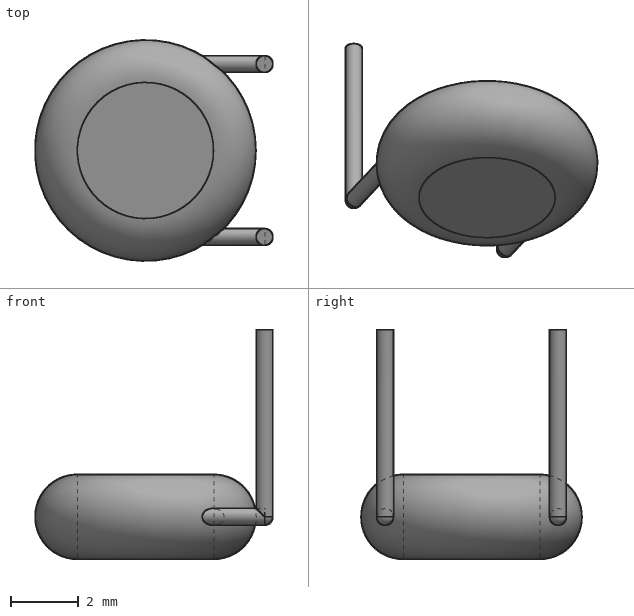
import cadquery as cq

disc_diameter = 6.5
disc_thickness = 2.5
edge_radius = disc_thickness / 2
core_radius = disc_diameter / 2 - edge_radius

wire_diameter = 0.5
wire_radius = wire_diameter / 2
lead_pitch = 5.08
bend_x = 3.5
lead_rise = 5.5
lead_positions = [-lead_pitch / 2, lead_pitch / 2]


def make_core():
    """Flat cylinder centred on the origin."""
    return cq.Workplane("XY").circle(core_radius).extrude(edge_radius, both=True)


def make_rim():
    """Half-round section revolved around the core."""
    return (
        cq.Workplane("XZ")
        .moveTo(core_radius, -edge_radius)
        .threePointArc((core_radius + edge_radius, 0), (core_radius, edge_radius))
        .close()
        .revolve(360, (0, 0, 0), (0, 1, 0))
    )


def make_run(y, core, rim):
    """Horizontal wire ending at the bend axis, trimmed to start on the disc's surface."""
    wire = cq.Workplane("YZ").center(y, 0).circle(wire_radius).extrude(bend_x)
    return wire.cut(core).cut(rim)


def make_upright(y, run):
    """Vertical wire, cut away where the horizontal run meets it in a mitre."""
    upright = cq.Workplane("XY").center(bend_x, y).circle(wire_radius).extrude(lead_rise)
    return upright.cut(run)


def make_elbow(y):
    """Quarter ball that rounds the outside of the bend."""
    ball = cq.Workplane("XY").sphere(wire_radius)
    outer_corner = cq.Workplane("XY").box(
        wire_diameter, wire_diameter, wire_diameter, centered=(False, True, False)
    ).translate((0, 0, -wire_diameter))
    return ball.intersect(outer_corner).translate((bend_x, y, 0))


core = make_core()
rim = make_rim()
bodies = [core.val(), rim.val()]
for lead_y in lead_positions:
    run = make_run(lead_y, core, rim)
    upright = make_upright(lead_y, run)
    elbow = make_elbow(lead_y)
    bodies += [*run.vals(), *upright.vals(), *elbow.vals()]

result = cq.Compound.makeCompound(bodies)